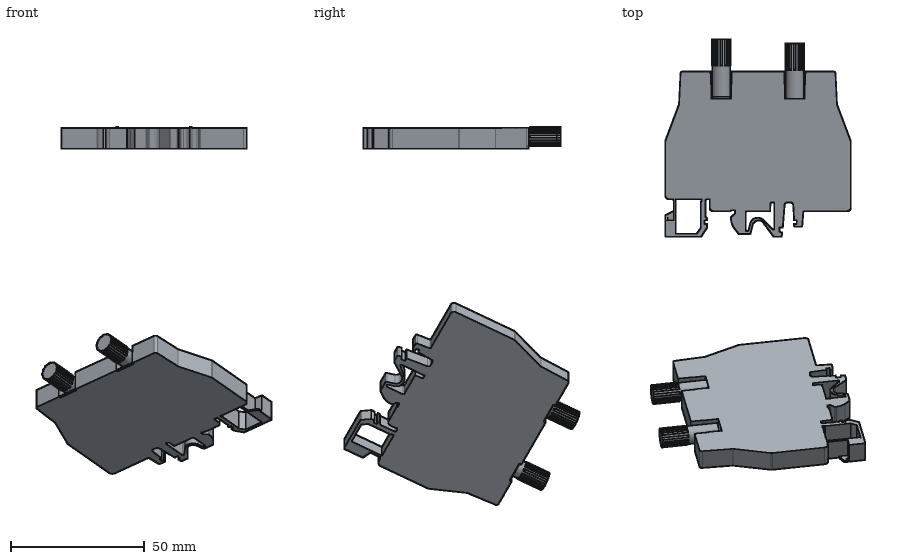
import cadquery as cq
import math


WIDTH = 69.5
THICKNESS = 7.8
BACK_Y = 61.85
FRONT_Y = 9.5
RECESS_Y = 14.0
SHOULDER_LOW_Y = 35.7
SHOULDER_HIGH_Y = 49.45
SHOULDER_INSET = 5.2
BACK_INSET = 5.8

TOTAL_LENGTH = 73.9
TOTAL_HEIGHT = 8.2
SCREW_SPACING = 27.5
SCREW_RADIUS = 3.6
SHANK_RADIUS = 3.4
NECK_RADIUS = 3.2
SCREW_Z = TOTAL_HEIGHT - SCREW_RADIUS
SHANK_LENGTH = 21.6
SCREW_END_Y = 48.8
SCREW_STAGGER = 1.6
RIB_COUNT = 12
RIB_WIDTH = 0.9
RIB_LENGTH = 10.0
RIB_TAPER = 0.2

SLOT_WIDTH = 7.55
SLOT_MOUTH_WIDTH = 7.8
SLOT_DEPTH = 10.35
SLOT_END_Y = BACK_Y - SLOT_DEPTH
SLOT_MOUTH_DEPTH = 4.4
SLOT_STEP_LENGTH = 0.75
SLOT_FLOOR_Z = 0.8
SLOT_FLOOR_SETBACK = 0.75

NECK_X = 3.2
WINDOW_X = 4.1
FOOT_RIGHT_X = 15.75
FOOT_BLOCK_Y = 6.1
TAB_TIP_Y = 8.05
TAB_ROOT_Y = 9.6
TAB_THICKNESS = 0.7
TAB_RIB_WIDTH = 1.0
TAB_RIB_RADIUS = 0.95

SPRING_WALL_X = 40.8
SPRING_SLOT_Y = 12.8

CORNER = 0.4


def rounded_prism(corners, height):
    """Extrude a closed outline of (x, y, rounding radius) corners from Z = 0."""
    path = None
    for i, (x, y, radius) in enumerate(corners):
        corner = cq.Vector(x, y)
        to_previous = (cq.Vector(*corners[i - 1][:2]) - corner).normalized()
        to_next = (cq.Vector(*corners[(i + 1) % len(corners)][:2]) - corner).normalized()
        half_angle = to_previous.getAngle(to_next) / 2
        reach = radius / math.tan(half_angle)
        start = corner + to_previous * reach
        path = path.lineTo(start.x, start.y) if path else cq.Workplane("XY").moveTo(start.x, start.y)
        if radius > 0:
            bisector = (to_previous + to_next).normalized()
            middle = corner + bisector * (radius / math.sin(half_angle) - radius)
            end = corner + to_next * reach
            path = path.threePointArc((middle.x, middle.y), (end.x, end.y))
    return path.close().extrude(height)


def housing():
    back_and_right = [
        (0, RECESS_Y, 1.6),
        (0, SHOULDER_LOW_Y, 1.1),
        (SHOULDER_INSET, SHOULDER_HIGH_Y, 0),
        (BACK_INSET, BACK_Y, 0.95),
        (WIDTH - BACK_INSET, BACK_Y, 0.95),
        (WIDTH - SHOULDER_INSET, SHOULDER_HIGH_Y, 0),
        (WIDTH, SHOULDER_LOW_Y, 1.1),
        (WIDTH, FRONT_Y, 1.4),
    ]
    right_hook = [
        (51.7, FRONT_Y, CORNER),
        (51.3, 3.7, 0.6),
        (48.1, 3.7, 0.75),
        (48.1, 4.9, 0),
        (49.15, 4.9, 0),
        (49.15, 6.1, 0),
        (48.2, 6.1, 0),
        (47.8, SPRING_SLOT_Y, 0.95),
        (44.8, SPRING_SLOT_Y, 0.95),
    ]
    spring_foot = [
        (44.05, 3.5, 0),
        (42.8, 3.5, 0),
        (42.8, 1.85, CORNER),
        (43.8, 1.6, 0),
        (43.6, 0, CORNER),
        (40.6, 0, CORNER),
        (33.9, 8.95, 2.2),
        (31.9, 1.0, CORNER),
        (27.5, 1.0, 0),
        (24.6, 4.8, 5.9),
        (24.6, 7.4, CORNER),
        (26.1, 8.7, CORNER),
        (26.1, 9.8, 0),
        (24.7, 9.8, 0),
        (24.45, FRONT_Y, 0),
    ]
    left_foot = [
        (16.6, FRONT_Y, 1.4),
        (16.6, RECESS_Y, 0),
        (15.15, RECESS_Y, CORNER),
        (15.15, 7.5, 0),
        (FOOT_RIGHT_X, 7.0, 0),
        (FOOT_RIGHT_X, 6.1, 0),
        (14.8, 6.1, 0),
        (14.8, 4.9, 0),
        (FOOT_RIGHT_X, 4.9, 0),
        (FOOT_RIGHT_X, 3.4, 0),
        (13.5, 0, CORNER),
        (0, 0, 0.5),
        (0, FOOT_BLOCK_Y, 0),
        (NECK_X, FOOT_BLOCK_Y, 0),
        (NECK_X, RECESS_Y, CORNER),
    ]
    return rounded_prism(back_and_right + right_hook + spring_foot + left_foot, THICKNESS)


def foot_window():
    corners = [
        (WINDOW_X, 1.2, 0),
        (WINDOW_X, RECESS_Y, 0),
        (13.6, RECESS_Y, 0),
        (13.6, 13.4, 0),
        (13.3, 12.9, 0),
        (13.3, 3.3, 0),
        (11.8, 1.2, 0),
    ]
    return rounded_prism(corners, THICKNESS)


def spring_opening():
    corners = [
        (30.2, FRONT_Y, CORNER),
        (39.3, FRONT_Y, 0),
        (39.45, SPRING_SLOT_Y, CORNER),
        (SPRING_WALL_X, SPRING_SLOT_Y, 0),
        (SPRING_WALL_X, 2.2, CORNER),
        (32.95, 10.05, 2.95),
        (31.1, 2.15, CORNER),
        (30.2, 2.15, CORNER),
    ]
    return rounded_prism(corners, THICKNESS)


def latch_tab():
    """Thin tab at the bottom of the foot's left block, with a concave root rib."""
    tab = rounded_prism(
        [
            (0, FOOT_BLOCK_Y, 0),
            (NECK_X, FOOT_BLOCK_Y, 0),
            (NECK_X, TAB_ROOT_Y, 0),
            (0, TAB_TIP_Y, 0),
        ],
        TAB_THICKNESS,
    )
    root = cq.Workplane("XY").box(TAB_RIB_WIDTH, TAB_RIB_RADIUS, TAB_RIB_RADIUS, centered=False)
    hollow = (
        cq.Workplane("YZ")
        .center(TAB_RIB_RADIUS, TAB_RIB_RADIUS)
        .circle(TAB_RIB_RADIUS)
        .extrude(TAB_RIB_WIDTH)
    )
    return tab.union(root.cut(hollow).translate((0, FOOT_BLOCK_Y, TAB_THICKNESS)))


def screw_slot(x):
    """Slot open to the back and top, stepped wider at its mouth and open below at the edge."""
    mouth_y = BACK_Y - SLOT_MOUTH_DEPTH
    half_width = SLOT_WIDTH / 2
    half_mouth = SLOT_MOUTH_WIDTH / 2
    slot = rounded_prism(
        [
            (x - half_width, SLOT_END_Y, 0),
            (x + half_width, SLOT_END_Y, 0),
            (x + half_width, mouth_y - SLOT_STEP_LENGTH, 0),
            (x + half_mouth, mouth_y, 0),
            (x + half_mouth, BACK_Y, 0),
            (x - half_mouth, BACK_Y, 0),
            (x - half_mouth, mouth_y, 0),
            (x - half_width, mouth_y - SLOT_STEP_LENGTH, 0),
        ],
        THICKNESS,
    ).translate((0, 0, SLOT_FLOOR_Z))
    edge_opening = (
        cq.Workplane("XY")
        .box(SLOT_MOUTH_WIDTH, SLOT_FLOOR_SETBACK, THICKNESS, centered=(True, False, False))
        .translate((x, BACK_Y - SLOT_FLOOR_SETBACK, 0))
    )
    return slot.union(edge_opening)


def rod(radius, length):
    """Cylinder along Y, from the screw's outer end at Y = 0 inwards."""
    return cq.Workplane("XZ").circle(radius).extrude(length)


def screw(x, outer_y):
    rib = (
        cq.Workplane("XZ")
        .rect(RIB_WIDTH, 2 * SCREW_RADIUS)
        .extrude(RIB_LENGTH)
    )
    ribs = rib
    for i in range(1, RIB_COUNT // 2):
        ribs = ribs.union(rib.rotate((0, 0, 0), (0, 1, 0), i * 360 / RIB_COUNT))
    envelope = rod(SCREW_RADIUS, RIB_LENGTH).faces("<Y").chamfer(RIB_TAPER)
    shank_length = min(SHANK_LENGTH, outer_y - SLOT_END_Y)
    body = rod(SHANK_RADIUS, shank_length).union(ribs.intersect(envelope))
    body = body.union(rod(NECK_RADIUS, outer_y - SCREW_END_Y))
    return body.translate((x, outer_y, SCREW_Z))


left_screw_x = (WIDTH - SCREW_SPACING) / 2
right_screw_x = left_screw_x + SCREW_SPACING

result = housing().cut(foot_window()).cut(spring_opening()).union(latch_tab())
for screw_x, screw_outer_y in (
    (left_screw_x, TOTAL_LENGTH),
    (right_screw_x, TOTAL_LENGTH - SCREW_STAGGER),
):
    result = result.cut(screw_slot(screw_x)).union(screw(screw_x, screw_outer_y))